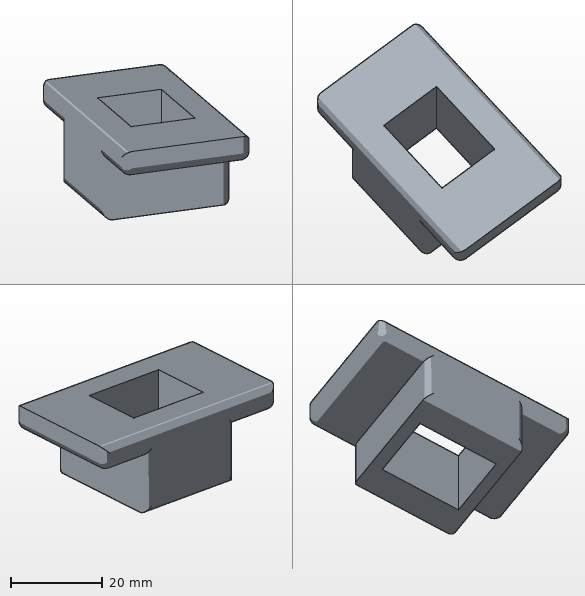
import cadquery as cq

length = 50.0
width = 30.0
height = 20.0

flange_thickness = 6.0
stem_length = 25.75
stem_offset = 0.1
edge_radius = 2.0

opening_length = 20.0
opening_width = 15.0

flange_bottom = height - flange_thickness


def centered_block(size_x, size_y, bottom, top):
    """Block centred on the Z axis between two heights."""
    return (
        cq.Workplane("XY")
        .workplane(offset=bottom)
        .rect(size_x, size_y)
        .extrude(top - bottom)
    )


flange = centered_block(length, width, flange_bottom, height)
stem = centered_block(stem_length, width, 0, height).translate((stem_offset, 0, 0))
body = flange.union(stem).clean()

end_outlines = body.faces("<Y or >Y").edges()
flange_lower_edges = body.edges(
    cq.selectors.BoxSelector(
        (-length, -width, flange_bottom - edge_radius),
        (length, width, flange_bottom + edge_radius),
    )
).edges("|Y").edges("<X or >X")
body = body.newObject(end_outlines.vals() + flange_lower_edges.vals()).fillet(edge_radius)

opening = centered_block(opening_length, opening_width, 0, height)
result = body.cut(opening)